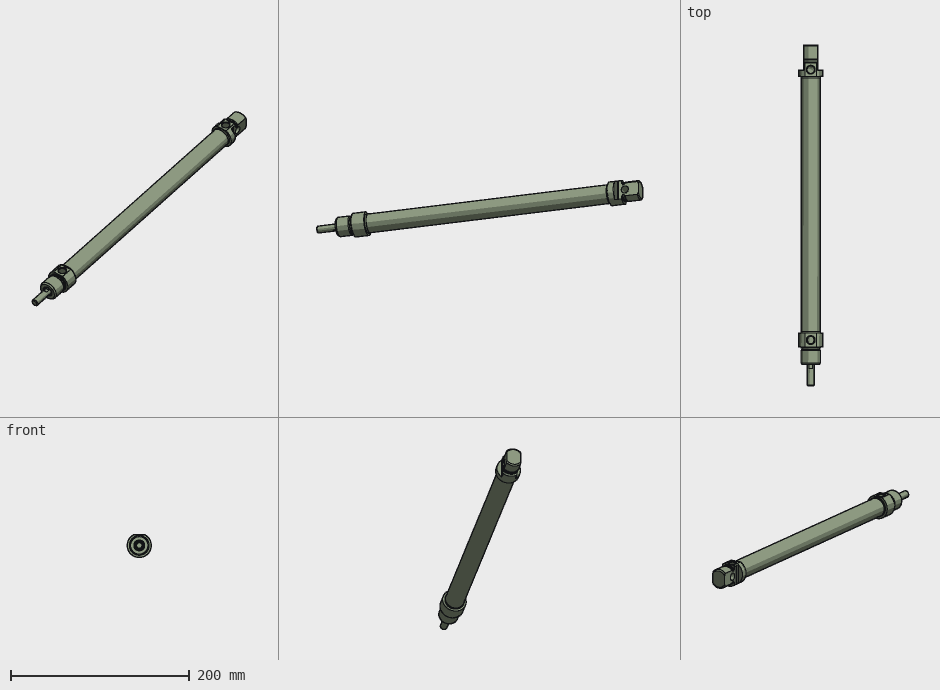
import cadquery as cq
import math

LENGTH = 381.0
NOSE_START = 24.0
NOSE_LENGTH = 16.8
GROOVE_WIDTH = 2.0
SHOULDER_LENGTH = 1.0
COLLAR_LENGTH = 15.2
SPIGOT_LENGTH = 2.0
EYE_LENGTH = 16.8

COLLAR_DIAMETER = 27.0
NOSE_DIAMETER = 22.0
GROOVE_DIAMETER = 20.0
BARREL_DIAMETER = 21.5
ROD_DIAMETER = 8.0
ROD_TIP_DIAMETER = 6.0

NOSE_CHAMFER = (2.0, 1.35)
NECK_CHAMFER = (1.0, 0.8)
EYE_END_CHAMFER = (1.0, 1.5)

COLLAR_HEIGHT = 25.5
PORT_DIAMETER = 8.5
PORT_MOUTH_DIAMETER = 10.0
PORT_MOUTH_DEPTH = 0.8
DRILL_POINT_ANGLE = 118.0

WIPER_DIAMETER = 12.2
WIPER_DEPTH = 2.0
BORE_MOUTH_DIAMETER = 10.3

EYE_WIDTH = 16.0
EYE_FLAT_LENGTH = 28.0
PIN_HOLE_DIAMETER = 8.5
PIN_HOLE_SETBACK = 16.0
SLOT_WIDTH = 1.0
SLOT_HEIGHT = 20.0
SLOT_DEPTH = 0.8
SLOT_SETBACK = 24.5

ROD_FLAT_WIDTH = 7.0
ROD_FLAT_LENGTH = 4.2

nose_end = NOSE_START + NOSE_LENGTH
front_shoulder = nose_end + GROOVE_WIDTH
front_collar = front_shoulder + SHOULDER_LENGTH
front_port = front_collar + COLLAR_LENGTH / 2
barrel_start = front_collar + COLLAR_LENGTH + SPIGOT_LENGTH

eye_start = LENGTH - EYE_LENGTH
rear_shoulder = eye_start - GROOVE_WIDTH
rear_collar = rear_shoulder - SHOULDER_LENGTH
rear_port = rear_collar - COLLAR_LENGTH / 2
barrel_end = rear_collar - COLLAR_LENGTH - SPIGOT_LENGTH

nose_radius = NOSE_DIAMETER / 2
collar_radius = COLLAR_DIAMETER / 2
groove_radius = GROOVE_DIAMETER / 2
port_flat_z = COLLAR_HEIGHT - collar_radius


def revolve_y(profile):
    """Solid of revolution about the Y axis from (radius, y) points, closed along the axis."""
    points = [(0, profile[0][1]), *profile, (0, profile[-1][1])]
    return cq.Workplane("XY").polyline(points).close().revolve(360, (0, 0, 0), (0, 1, 0))


def cylinder(diameter, start, end):
    return revolve_y([(diameter / 2, start), (diameter / 2, end)])


def box(width, length, height, center):
    return cq.Workplane("XY").box(width, length, height).translate(center)


def head_blank(end, end_chamfer, neck, shoulder, collar_near, collar_far, spigot_end):
    """Turned body of either head: chamfered end part, groove, shoulder, flatted collar and spigot."""
    inward = math.copysign(1, spigot_end - end)
    end_axial, end_radial = end_chamfer
    neck_axial, neck_radial = NECK_CHAMFER
    blank = revolve_y([
        (nose_radius - end_radial, end),
        (nose_radius, end + inward * end_axial),
        (nose_radius, neck - inward * neck_axial),
        (nose_radius - neck_radial, neck),
        (groove_radius, neck),
        (groove_radius, shoulder),
        (nose_radius, shoulder),
        (nose_radius, collar_near),
        (collar_radius, collar_near),
        (collar_radius, collar_far),
        (nose_radius, collar_far),
        (nose_radius, spigot_end),
    ])
    above_flat = box(
        COLLAR_DIAMETER,
        COLLAR_LENGTH,
        COLLAR_DIAMETER,
        (0, (collar_near + collar_far) / 2, port_flat_z + collar_radius),
    )
    return blank.cut(above_flat)


def port(y):
    """Drilled air port with a conical mouth and a drill point that ends on the cylinder axis."""
    radius = PORT_DIAMETER / 2
    point_height = radius / math.tan(math.radians(DRILL_POINT_ANGLE / 2))
    profile = [
        (0, 0),
        (radius, point_height),
        (radius, port_flat_z - PORT_MOUTH_DEPTH),
        (PORT_MOUTH_DIAMETER / 2, port_flat_z),
        (0, port_flat_z),
    ]
    drill = cq.Workplane("XZ").polyline(profile).close().revolve(360, (0, 0, 0), (0, 1, 0))
    return drill.translate((0, y, 0))


def make_rod():
    """Piston rod with a chamfered tip and two wrench flats next to the nose."""
    tip_chamfer = (ROD_DIAMETER - ROD_TIP_DIAMETER) / 2
    rod = revolve_y([
        (ROD_TIP_DIAMETER / 2, 0),
        (ROD_DIAMETER / 2, tip_chamfer),
        (ROD_DIAMETER / 2, barrel_start),
    ])
    for side in (-1, 1):
        height = side * (ROD_FLAT_WIDTH + ROD_DIAMETER) / 2
        center = (0, NOSE_START - ROD_FLAT_LENGTH / 2, height)
        rod = rod.cut(box(ROD_DIAMETER, ROD_FLAT_LENGTH, ROD_DIAMETER, center))
    return rod


def rod_opening():
    """Bore around the rod, with a wiper recess and a chamfered mouth at the nose face."""
    rod_radius = ROD_DIAMETER / 2
    bore_mouth_radius = BORE_MOUTH_DIAMETER / 2
    recess_floor = NOSE_START + WIPER_DEPTH
    return revolve_y([
        (WIPER_DIAMETER / 2, NOSE_START),
        (WIPER_DIAMETER / 2, recess_floor),
        (bore_mouth_radius, recess_floor),
        (rod_radius, recess_floor + bore_mouth_radius - rod_radius),
        (rod_radius, barrel_start),
    ])


def make_front_head():
    head = head_blank(
        NOSE_START, NOSE_CHAMFER, nose_end, front_shoulder, front_collar,
        front_collar + COLLAR_LENGTH, barrel_start,
    )
    return head.cut(port(front_port)).cut(rod_opening())


def make_rear_cap():
    cap = head_blank(
        LENGTH, EYE_END_CHAMFER, eye_start, rear_shoulder, rear_collar,
        rear_collar - COLLAR_LENGTH, barrel_end,
    )
    flat_y = LENGTH - EYE_FLAT_LENGTH / 2
    slot_y = LENGTH - SLOT_SETBACK
    for side in (-1, 1):
        flat_x = side * (EYE_WIDTH + COLLAR_DIAMETER) / 2
        slot_x = side * (EYE_WIDTH - SLOT_DEPTH) / 2
        cap = cap.cut(box(COLLAR_DIAMETER, EYE_FLAT_LENGTH, COLLAR_DIAMETER, (flat_x, flat_y, 0)))
        cap = cap.cut(box(SLOT_DEPTH, SLOT_WIDTH, SLOT_HEIGHT, (slot_x, slot_y, 0)))
    pin_hole = (
        cq.Workplane("YZ", origin=(0, LENGTH - PIN_HOLE_SETBACK, 0))
        .circle(PIN_HOLE_DIAMETER / 2)
        .extrude(EYE_WIDTH, both=True)
    )
    return cap.cut(pin_hole).cut(port(rear_port))


rod = make_rod()
front_head = make_front_head()
barrel = cylinder(BARREL_DIAMETER, barrel_start, barrel_end)
rear_cap = make_rear_cap()
result = cq.Compound.makeCompound([rod.val(), front_head.val(), barrel.val(), rear_cap.val()])